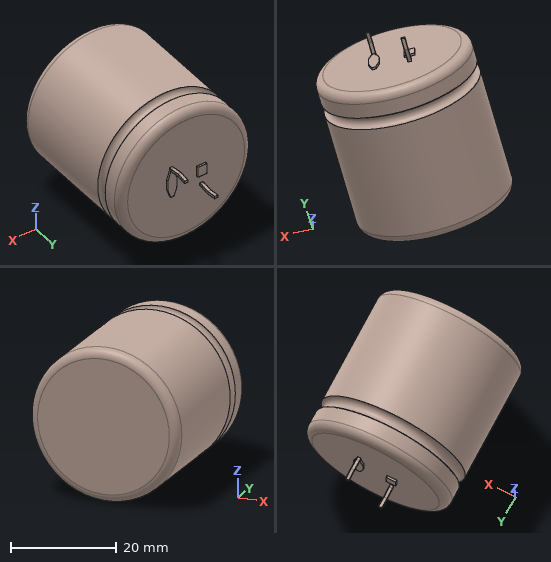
import cadquery as cq

total_length = 37.0
pin_length = 4.95
can_length = total_length - pin_length
can_radius = 31.0 / 2
end_round = 1.8
groove_radius = 1.22
groove_from_pin_end = 6.03

pin_offset = 3.5
pin_width = 0.75
pin_thickness = 0.6
pin_foot = 0.5
pin_bend = 2.75
pin_bulge = 0.3

pad_height = 0.45
pad_width = 2.07
pad_rectangle_length = 2.45
pad_octagon_length = 6.35
pad_octagon_flat = 0.75


def make_can():
    can = cq.Workplane("XZ").circle(can_radius).extrude(-can_length)
    can = can.edges("%CIRCLE").fillet(end_round)
    groove_y = can_length - groove_from_pin_end
    groove = cq.Solid.makeTorus(
        can_radius, groove_radius, cq.Vector(0, groove_y, 0), cq.Vector(0, 1, 0)
    )
    return can.cut(cq.Workplane(groove))


def make_pin(side):
    """Blade on the +X +Z corner (side = 1) or the -X -Z corner (side = -1), bulging outward."""
    center_line = [
        (can_length, pin_offset),
        (can_length + pin_foot, pin_offset),
        (can_length + pin_bend, pin_offset + pin_bulge),
        (total_length, pin_offset),
    ]
    half = pin_thickness / 2
    outer = [(y, side * (z + half)) for y, z in center_line]
    inner = [(y, side * (z - half)) for y, z in reversed(center_line)]
    blade = cq.Workplane("YZ").polyline(outer + inner).close().extrude(pin_width / 2, both=True)
    return blade.translate((side * pin_offset, 0, 0))


def make_rectangular_pad():
    pad = cq.Workplane("XZ", origin=(-pin_offset, can_length, 0))
    return pad.rect(pad_width, pad_rectangle_length).extrude(-pad_height)


def make_octagonal_pad():
    half_width = pad_width / 2
    half_length = pad_octagon_length / 2
    half_end = pad_octagon_flat / 2
    half_side = pad_rectangle_length / 2
    outline = [
        (half_end, half_length),
        (half_width, half_side),
        (half_width, -half_side),
        (half_end, -half_length),
        (-half_end, -half_length),
        (-half_width, -half_side),
        (-half_width, half_side),
        (-half_end, half_length),
    ]
    pad = cq.Workplane("XZ", origin=(pin_offset, can_length, 0))
    return pad.polyline(outline).close().extrude(-pad_height)


result = make_can()
for corner in (-1, 1):
    result = result.union(make_pin(corner))
result = result.union(make_rectangular_pad()).union(make_octagonal_pad())